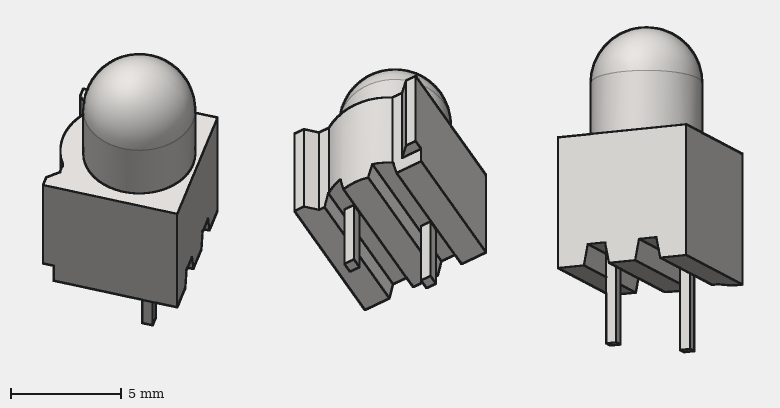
import cadquery as cq

total_height = 14.73
body_width = 6.35
body_bottom = 3.3
body_top = 9.38
half_width = body_width / 2

lens_diameter = 5.08
lens_radius = lens_diameter / 2
lens_offset = 0.43
dome_base = total_height - lens_radius

relief_depth = 0.5
bulge_half_width = 1.66
corner_land = 0.5
relief_x = -half_width + relief_depth
chamfer_start = half_width - corner_land
chamfer_end = chamfer_start - relief_depth

lead_size = 0.5
lead_offset = 1.27
channel_height = 0.97
channel_top_width = 0.85
channel_bottom_width = 1.24
channel_top = body_bottom + channel_height


def make_body():
    return (
        cq.Workplane("XY", origin=(0, 0, body_bottom))
        .moveTo(half_width, half_width)
        .lineTo(-half_width, half_width)
        .lineTo(-half_width, chamfer_start)
        .lineTo(relief_x, chamfer_end)
        .lineTo(relief_x, bulge_half_width)
        .threePointArc((-half_width, 0), (relief_x, -bulge_half_width))
        .lineTo(relief_x, -chamfer_end)
        .lineTo(-half_width, -chamfer_start)
        .lineTo(-half_width, -half_width)
        .lineTo(half_width, -half_width)
        .close()
        .extrude(body_top - body_bottom)
    )


def make_channel(y):
    """Trapezoidal channel, wider at the bottom, running the full body along X."""
    return (
        cq.Workplane("YZ")
        .polyline([
            (y - channel_bottom_width / 2, body_bottom),
            (y + channel_bottom_width / 2, body_bottom),
            (y + channel_top_width / 2, channel_top),
            (y - channel_top_width / 2, channel_top),
        ])
        .close()
        .extrude(half_width, both=True)
    )


def make_corner_notch():
    """Removes the foot of the corner land at -X, -Y, level with the relief."""
    return cq.Workplane("XY").box(
        relief_depth, half_width - chamfer_end, channel_height, centered=False
    ).translate((-half_width, -half_width, body_bottom))


def make_lens():
    """Cylinder with a hemispherical dome."""
    cylinder = (
        cq.Workplane("XY", origin=(lens_offset, 0, body_top))
        .circle(lens_radius)
        .extrude(dome_base - body_top)
    )
    dome = (
        cq.Workplane("XY")
        .sphere(lens_radius, angle1=0, angle2=90)
        .translate((lens_offset, 0, dome_base))
    )
    return cylinder.union(dome)


def make_lead(x, y):
    return cq.Workplane("XY").center(x, y).rect(lead_size, lead_size).extrude(channel_top)


result = make_body().cut(make_corner_notch()).union(make_lens())
for side in (-1, 1):
    result = result.cut(make_channel(side * lead_offset))
for side in (-1, 1):
    result = result.union(make_lead(side * lead_offset, -side * lead_offset))